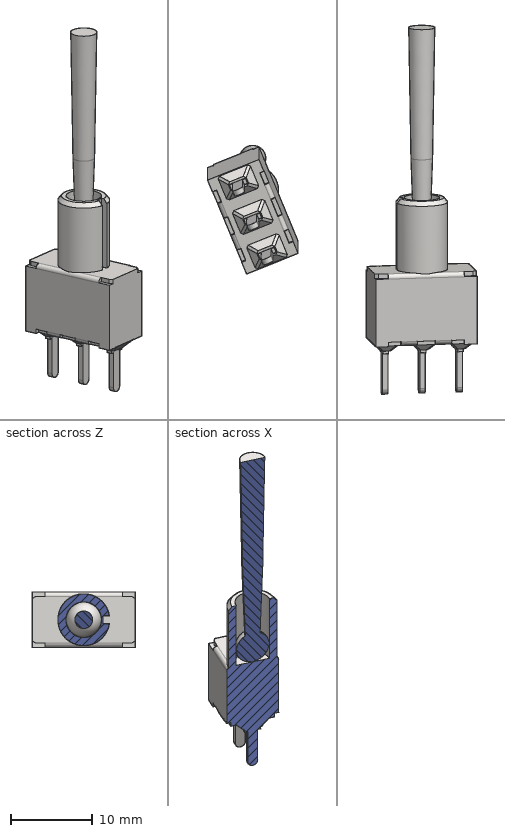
import cadquery as cq
import math

length_x = 12.7
width_y = 6.85
block_bottom_z = 6.55
sheet = 0.55
cover_top_z = 15.55
block_top_z = cover_top_z - sheet
flange_x = 9.5
plate_y = width_y - 2 * sheet
plate_corner_x = 0.45
plate_corner_y = 0.27

clip_length = 2.0
clip_centre_x = 2.15

bushing_d = 6.4
bushing_top_z = 24.45
bushing_bevel_z = 0.55
bushing_bevel_r = 0.45
bore_d = 4.35
keyway_width = 0.95
keyway_floor_x = 2.4

pitch = 4.65
foot_height = 0.95
foot_flare = 0.95
foot_corner_bevel = 0.25
foot_tip_x = 1.3
foot_tip_y = 2.4
pin_x = 0.7
pin_y = 1.33
shoulder_y = 2.15
shoulder_height = 0.35

lever_top_z = 45.7
lever_top_d = 3.25
lever_waist_z = 29.4
lever_waist_d = 2.7
lever_neck_d = 2.0


def box(size_x, size_y, bottom_z, top_z):
    """Box centred on the Z axis between two heights."""
    height = top_z - bottom_z
    return cq.Workplane("XY").workplane(offset=bottom_z).rect(size_x, size_y).extrude(height)


def make_block():
    """Block with full-width ends, undercut on both sides below the flanges."""
    block = box(length_x, width_y, block_bottom_z, block_top_z)
    undercut_top_z = block_bottom_z + sheet
    undercut = box(flange_x, width_y, block_bottom_z, undercut_top_z)
    core = box(flange_x, plate_y, block_bottom_z, undercut_top_z)
    return block.cut(undercut.cut(core))


def make_top_plate():
    """Top plate with bevelled corners and a rounded bend along each flange."""
    half_x = length_x / 2
    half_y = plate_y / 2
    plate = (
        cq.Workplane("XY")
        .workplane(offset=block_top_z)
        .moveTo(half_x, half_y - plate_corner_y)
        .lineTo(half_x - plate_corner_x, half_y)
        .lineTo(plate_corner_x - half_x, half_y)
        .lineTo(-half_x, half_y - plate_corner_y)
        .lineTo(-half_x, plate_corner_y - half_y)
        .lineTo(plate_corner_x - half_x, -half_y)
        .lineTo(half_x - plate_corner_x, -half_y)
        .lineTo(half_x, plate_corner_y - half_y)
        .close()
        .extrude(sheet)
    )
    for side in (-1, 1):
        plate = plate.union(make_bend(flange_x, 0, side, block_top_z))
    return plate


def make_bend(bend_length, centre_x, side, axis_z):
    """Round bar along X that forms a bend of the cover on one Y side."""
    return (
        cq.Workplane("YZ")
        .workplane(offset=centre_x - bend_length / 2)
        .center(side * plate_y / 2, axis_z)
        .circle(sheet)
        .extrude(bend_length)
    )


def make_clips():
    """Four clips curling from the side flanges under the block."""
    clips = cq.Workplane("XY")
    for centre_x in (-clip_centre_x, clip_centre_x):
        for side in (-1, 1):
            clips = clips.add(make_bend(clip_length, centre_x, side, block_bottom_z + sheet))
    return clips.combine()


def make_bushing():
    """Bevelled bushing with a keyway along its +X side."""
    height = bushing_top_z - block_top_z
    bushing = (
        cq.Workplane("XY")
        .workplane(offset=block_top_z)
        .circle(bushing_d / 2)
        .extrude(height)
        .faces(">Z")
        .chamfer(bushing_bevel_z, bushing_bevel_r)
    )
    keyway = box(bushing_d, keyway_width, cover_top_z, bushing_top_z)
    return bushing.cut(keyway.translate((keyway_floor_x + bushing_d / 2, 0, 0)))


def make_bore():
    """Blind bore from the bushing mouth down to the top of the cover."""
    depth = bushing_top_z - cover_top_z
    return cq.Workplane("XY").workplane(offset=cover_top_z).circle(bore_d / 2).extrude(depth)


def make_terminal():
    """Flared foot, shoulder and flat pin with a rounded tip, on the Z axis."""
    foot_bottom_z = block_bottom_z - foot_height
    shoulder_bottom_z = foot_bottom_z - shoulder_height
    foot = (
        cq.Workplane("XY")
        .workplane(offset=foot_bottom_z)
        .rect(foot_tip_x, foot_tip_y)
        .workplane(offset=foot_height)
        .rect(foot_tip_x + 2 * foot_flare, foot_tip_y + 2 * foot_flare)
        .loft(ruled=True)
        .edges("not #Z")
        .chamfer(foot_corner_bevel)
    )
    shoulder = box(pin_x, shoulder_y, shoulder_bottom_z, foot_bottom_z)
    tip_r = pin_y / 2
    pin = (
        cq.Workplane("YZ")
        .workplane(offset=-pin_x / 2)
        .moveTo(-tip_r, shoulder_bottom_z)
        .lineTo(-tip_r, tip_r)
        .threePointArc((0, 0), (tip_r, tip_r))
        .lineTo(tip_r, shoulder_bottom_z)
        .close()
        .extrude(pin_x)
    )
    return foot.union(shoulder).union(pin)


def make_housing():
    """Block, cover, bushing and terminals as one solid."""
    housing = make_block().union(make_top_plate()).union(make_clips()).union(make_bushing())
    for position in (-1, 0, 1):
        housing = housing.union(make_terminal().translate((position * pitch, 0, 0)))
    return housing.cut(make_bore())


def make_lever():
    """Two-taper lever ending in a ball that fills the bore and rests on its floor."""
    ball_r = bore_d / 2
    neck_r = lever_neck_d / 2
    ball_z = cover_top_z + ball_r
    neck_z = ball_z + math.sqrt(ball_r**2 - neck_r**2)
    return (
        cq.Workplane("XZ")
        .moveTo(0, cover_top_z)
        .threePointArc((ball_r, ball_z), (neck_r, neck_z))
        .lineTo(lever_waist_d / 2, lever_waist_z)
        .lineTo(lever_top_d / 2, lever_top_z)
        .lineTo(0, lever_top_z)
        .close()
        .revolve(360, (0, 0, 0), (0, 1, 0))
    )


housing = make_housing()
lever = make_lever()

result = cq.Compound.makeCompound([housing.val(), lever.val()])